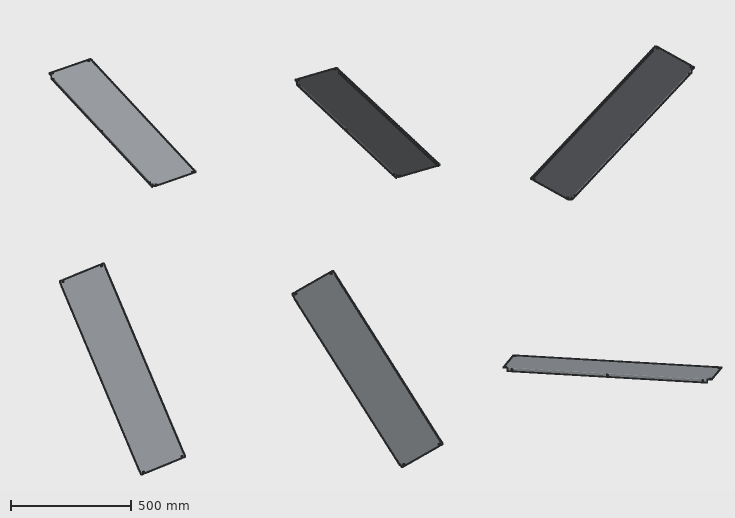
import cadquery as cq

length = 886.5
width = 199.5
height = 15.0
sheet = 1.0
bend_radius = 1.15
corner_radius = 4.0

flange_inset = 18.0
flange_length = length - 2 * flange_inset

slot_width = 5.0
slot_depth = 9.0
slot_edge_distance = 13.0

hole_diameter = 4.2
hole_spacing = 406.0
hole_drop = 7.0


def make_channel():
    outer = (
        cq.Workplane("XY")
        .box(flange_length, width, height, centered=(True, True, False))
        .edges("|X and >Z")
        .fillet(bend_radius)
    )
    inner = (
        cq.Workplane("XY")
        .box(flange_length, width - 2 * sheet, height - sheet, centered=(True, True, False))
        .edges("|X and >Z")
        .fillet(bend_radius - sheet)
    )
    return outer.cut(inner)


def make_end_tab(side):
    center_x = side * (length - flange_inset) / 2
    outer_edges = "|Z and >X" if side > 0 else "|Z and <X"
    return (
        cq.Workplane("XY", origin=(center_x, 0, height - sheet))
        .rect(flange_inset, width)
        .extrude(sheet)
        .edges(outer_edges)
        .fillet(corner_radius)
    )


def make_slot_cutters():
    slot_x = length / 2
    slot_y = width / 2 - slot_edge_distance
    corners = [(sx * slot_x, sy * slot_y) for sx in (-1, 1) for sy in (-1, 1)]
    return cq.Workplane("XY").pushPoints(corners).rect(2 * slot_depth, slot_width).extrude(height)


def make_hole_cutters():
    hole_z = height - hole_drop
    centers = [(i * hole_spacing, hole_z) for i in (-1, 0, 1)]
    return (
        cq.Workplane("XZ")
        .pushPoints(centers)
        .circle(hole_diameter / 2)
        .extrude(width, both=True)
    )


panel = make_channel()
for side in (-1, 1):
    panel = panel.union(make_end_tab(side))

result = panel.cut(make_slot_cutters()).cut(make_hole_cutters())